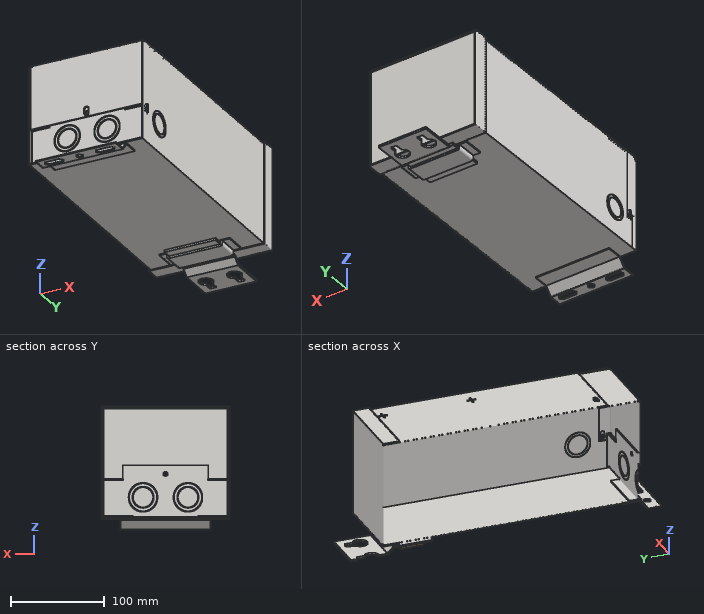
import cadquery as cq
import math


TOTAL_LENGTH = 357.5
TOTAL_HEIGHT = 133.5
CAP_WIDTH = 139.7
CAP_HEIGHT = 123.0
SHEET = 1.25
BRACKET_PLATE = 2.5

HOUSING_WIDTH = CAP_WIDTH - 2 * SHEET
HOUSING_HEIGHT = CAP_HEIGHT - 2 * SHEET
INNER_HALF_WIDTH = HOUSING_WIDTH / 2 - SHEET
CEILING = HOUSING_HEIGHT - SHEET
HOUSING_BEND = 1.5
ROOF_FRONT = 39.0
SIDE_CORNER_RADIUS = 6.0

CAP_REAR = 297.7
CAP_DEPTH = 19.3
CAP_REAR_BEND = 2.0
CAP_CORNER_RADIUS = 0.7
HOUSING_LENGTH = CAP_REAR - SHEET

CROSS_LENGTH = 9.3
CROSS_WIDTH = 1.0
CROSS_X = 48.5
CROSS_YS = (169.0, 271.0)

BEND = 2.0
COVER_FRONT = SHEET
COVER_BOTTOM = 42.5
COVER_TONGUE_END = 49.3
PANEL_GAP = 0.7
PANEL_FRONT = COVER_FRONT + SHEET + PANEL_GAP
PANEL_FLANGE_DEPTH = 3.0
PANEL_SHOULDER = 41.5
PANEL_TONGUE_TOP = 57.2
PANEL_TONGUE_HALF_WIDTH = 45.5
PANEL_FOOT_HALF_WIDTH = 35.0
PANEL_FOOT_END = 14.3

SLOT_WIDTH = 4.3
SLOT_LENGTH = 10.0
FRONT_SLOT_WIDTH = 5.5
SCREW_HOLE = 4.3
FRONT_SLOT_Z = 49.5
FRONT_HOLE_Z = 48.2
ROOF_SLOT_Y = 45.5
SIDE_SLOT_Y = 11.0
SIDE_SLOT_Z = 41.0
SIDE_HOLE_Z = 40.0
EAR_WIDTH = 8.5
EAR_BOTTOM = 35.0
EAR_END = SIDE_SLOT_Y + EAR_WIDTH / 2

GROOVE_DEPTH = 0.5
FRONT_KNOCKOUT_X = 24.0
FRONT_KNOCKOUT_Z = 23.2
FRONT_RINGS = (31.0, 23.0)
FRONT_GROOVE_WIDTH = 0.7
SIDE_KNOCKOUT_Y = ROOF_FRONT
SIDE_KNOCKOUT_Z = 34.3
SIDE_RINGS = (29.3, 23.0)
SIDE_GROOVE_WIDTH = 0.5

FOOT_TIP = -23.0
FRONT_BRACKET_WIDTH = 96.0
FRONT_FLANGE_END = 21.0
FRONT_UPPER_BEND_Y = 1.8
FRONT_LOWER_BEND_Y = -7
FRONT_FOOT_TOP = -10.0
FOOT_SLOT_X = 30.7
FOOT_SLOT_Y = -13.5
FOOT_SLOT_LENGTH = 21.8
FOOT_HOLE = 7.5

REAR_TIP = FOOT_TIP + TOTAL_LENGTH
REAR_FOOT_BOTTOM = HOUSING_HEIGHT + SHEET - TOTAL_HEIGHT
REAR_BRACKET_WIDTH = 62.0
REAR_TAIL_START = 239.8
REAR_TAIL_TOP = -2.5
REAR_UPPER_BEND_Y = 285.2
REAR_LOWER_BEND_Y = 292.5
KEYHOLE_X = 17.0
KEYHOLE_Y = 310.0
KEYHOLE_DIAMETER = 16.5
KEYHOLE_NECK_WIDTH = 7.5
KEYHOLE_TOP = 326.5
KEYHOLE_CORNER = 1.5
STRAP_START = 250.5
STRAP_LENGTH = 25.7
STRAP_FLANGE = 9.0


def block(x_range, y_range, z_range):
    """Box between the given pairs of coordinates."""
    (x0, x1), (y0, y1), (z0, z1) = x_range, y_range, z_range
    return cq.Workplane("XY").box(x1 - x0, y1 - y0, z1 - z0, centered=False).translate((x0, y0, z0))


def mid_block(half_width, y_range, z_range):
    """Box centred on X."""
    return block((-half_width, half_width), y_range, z_range)


def along_x(outline, half_width):
    """Extrude an outline drawn in the YZ plane to both sides of X = 0."""
    return outline.extrude(half_width, both=True)


def ring_grooves(plane, diameters, groove_width):
    """Concentric ring cutters, sunk and raised by the groove depth about the plane."""
    rings = cq.Workplane(plane)
    for diameter in diameters:
        rings = rings.circle(diameter / 2).circle(diameter / 2 - groove_width)
        rings = rings.extrude(GROOVE_DEPTH, both=True)
    return rings


def side_plane(x, y, z):
    """Sketch plane on a side wall: local x along Y, normal along X."""
    return cq.Plane(origin=(x, y, z), xDir=(0, 1, 0), normal=(1, 0, 0))


def front_plane(x, y, z):
    """Sketch plane on a front wall: local x along X, normal toward -Y."""
    return cq.Plane(origin=(x, y, z), xDir=(1, 0, 0), normal=(0, -1, 0))


def make_housing():
    housing = mid_block(HOUSING_WIDTH / 2, (0, HOUSING_LENGTH), (0, HOUSING_HEIGHT))
    housing = housing.edges("|Y").fillet(HOUSING_BEND)
    housing = housing.cut(mid_block(INNER_HALF_WIDTH, (0, HOUSING_LENGTH), (SHEET, CEILING)))

    housing = housing.cut(mid_block(HOUSING_WIDTH, (0, ROOF_FRONT), (CEILING, HOUSING_HEIGHT)))
    diagonal = SIDE_CORNER_RADIUS * (1 - math.sqrt(0.5))
    corner = (
        cq.Workplane("YZ")
        .moveTo(0, CEILING)
        .lineTo(0, CEILING - SIDE_CORNER_RADIUS)
        .threePointArc((diagonal, CEILING - diagonal), (SIDE_CORNER_RADIUS, CEILING))
        .close()
    )
    housing = housing.cut(along_x(corner, HOUSING_WIDTH))

    centers = [(x, y) for x in (-CROSS_X, CROSS_X) for y in CROSS_YS]
    roof = cq.Workplane("XY", origin=(0, 0, CEILING)).pushPoints(centers)
    housing = housing.cut(roof.rect(CROSS_LENGTH, CROSS_WIDTH).extrude(SHEET))
    housing = housing.cut(roof.rect(CROSS_WIDTH, CROSS_LENGTH).extrude(SHEET))

    roof_slot = cq.Workplane("XY", origin=(0, ROOF_SLOT_Y, CEILING)).slot2D(SLOT_LENGTH, SLOT_WIDTH)
    housing = housing.cut(roof_slot.extrude(SHEET))
    side_slot = cq.Workplane(side_plane(0, SIDE_SLOT_Y, SIDE_SLOT_Z)).slot2D(SLOT_LENGTH, SLOT_WIDTH, 90)
    housing = housing.cut(along_x(side_slot, HOUSING_WIDTH))

    for x in (-HOUSING_WIDTH / 2, HOUSING_WIDTH / 2):
        plane = side_plane(x, SIDE_KNOCKOUT_Y, SIDE_KNOCKOUT_Z)
        housing = housing.cut(ring_grooves(plane, SIDE_RINGS, SIDE_GROOVE_WIDTH))
    return housing


def make_rear_cap():
    cap_front = CAP_REAR - CAP_DEPTH
    cap = mid_block(CAP_WIDTH / 2, (cap_front, CAP_REAR), (-SHEET, HOUSING_HEIGHT + SHEET))
    cap = cap.edges("|Y").fillet(CAP_CORNER_RADIUS)
    cap = cap.faces(">Y").edges().fillet(CAP_REAR_BEND)
    return cap.cut(mid_block(HOUSING_WIDTH / 2, (cap_front, HOUSING_LENGTH), (0, HOUSING_HEIGHT)))


def make_front_cover():
    cover = mid_block(INNER_HALF_WIDTH, (COVER_FRONT, COVER_TONGUE_END), (COVER_BOTTOM, CEILING))
    cover = cover.edges("(|Z and <Y) or (>Z and (not >Y))").fillet(BEND)
    hollow = mid_block(
        INNER_HALF_WIDTH - SHEET,
        (COVER_FRONT + SHEET, COVER_TONGUE_END),
        (COVER_BOTTOM, CEILING - SHEET),
    )
    hollow = hollow.edges("(|Z and <Y) or (>Z and (not >Y))").fillet(BEND - SHEET)
    cover = cover.cut(hollow)

    side_relief = mid_block(INNER_HALF_WIDTH, (EAR_END, COVER_TONGUE_END), (COVER_BOTTOM, CEILING - BEND))
    cover = cover.cut(side_relief)

    for x in (-INNER_HALF_WIDTH, INNER_HALF_WIDTH - SHEET):
        ear = block((x, x + SHEET), (EAR_END - EAR_WIDTH, EAR_END), (EAR_BOTTOM, COVER_BOTTOM))
        cover = cover.union(ear)

    front_slot = cq.Workplane(front_plane(0, COVER_FRONT + SHEET, FRONT_SLOT_Z))
    cover = cover.cut(front_slot.slot2D(SLOT_LENGTH, FRONT_SLOT_WIDTH, 90).extrude(SHEET))
    roof_hole = cq.Workplane("XY", origin=(0, ROOF_SLOT_Y, CEILING - SHEET)).circle(SCREW_HOLE / 2)
    cover = cover.cut(roof_hole.extrude(SHEET))
    side_hole = cq.Workplane(side_plane(0, SIDE_SLOT_Y, SIDE_HOLE_Z)).circle(SCREW_HOLE / 2)
    return cover.cut(along_x(side_hole, HOUSING_WIDTH))


def make_front_panel():
    panel_back = PANEL_FRONT + SHEET
    panel_bottom = SHEET + BEND

    flange_end = PANEL_FRONT + PANEL_FLANGE_DEPTH
    panel = mid_block(INNER_HALF_WIDTH, (PANEL_FRONT, flange_end), (panel_bottom, PANEL_SHOULDER))
    panel = panel.edges("|Z and <Y").fillet(BEND)
    hollow = mid_block(
        INNER_HALF_WIDTH - SHEET, (panel_back, flange_end), (panel_bottom, PANEL_SHOULDER)
    )
    panel = panel.cut(hollow.edges("|Z and <Y").fillet(BEND - SHEET))

    tongue = mid_block(
        PANEL_TONGUE_HALF_WIDTH, (PANEL_FRONT, panel_back), (PANEL_SHOULDER, PANEL_TONGUE_TOP)
    )
    panel = panel.union(tongue)
    hole = cq.Workplane(front_plane(0, panel_back, FRONT_HOLE_Z)).circle(SCREW_HOLE / 2)
    panel = panel.cut(hole.extrude(SHEET))

    foot_top = panel_bottom + BEND
    foot = mid_block(PANEL_FOOT_HALF_WIDTH, (PANEL_FRONT, PANEL_FOOT_END), (SHEET, foot_top))
    foot = foot.edges("|X and <Y and <Z").fillet(BEND)
    above_foot = mid_block(PANEL_FOOT_HALF_WIDTH, (panel_back, PANEL_FOOT_END), (2 * SHEET, foot_top))
    above_foot = above_foot.edges("|X and <Y and <Z").fillet(BEND - SHEET)
    panel = panel.union(foot.cut(above_foot))

    for x in (-FRONT_KNOCKOUT_X, FRONT_KNOCKOUT_X):
        plane = front_plane(x, PANEL_FRONT, FRONT_KNOCKOUT_Z)
        panel = panel.cut(ring_grooves(plane, FRONT_RINGS, FRONT_GROOVE_WIDTH))
    return panel


def bent_strip(top_line, thickness, half_width):
    """Strip of constant thickness below a level-slope-level top line of (y, z) points."""
    start, upper, lower, tip = top_line
    slope = math.atan2(upper[1] - lower[1], abs(lower[0] - upper[0]))
    direction = math.copysign(1, tip[0] - start[0])
    shift = direction * thickness * math.tan(slope / 2)
    underside = [
        (tip[0], tip[1] - thickness),
        (lower[0] - shift, lower[1] - thickness),
        (upper[0] - shift, upper[1] - thickness),
        (start[0], start[1] - thickness),
    ]
    return along_x(cq.Workplane("YZ").polyline(top_line + underside).close(), half_width)


def make_front_bracket():
    top_line = [
        (FRONT_FLANGE_END, 0),
        (FRONT_UPPER_BEND_Y, 0),
        (FRONT_LOWER_BEND_Y, FRONT_FOOT_TOP),
        (FOOT_TIP, FRONT_FOOT_TOP),
    ]
    bracket = bent_strip(top_line, SHEET, FRONT_BRACKET_WIDTH / 2)
    foot = cq.Workplane("XY", origin=(0, FOOT_SLOT_Y, FRONT_FOOT_TOP - SHEET))
    slots = foot.pushPoints([(-FOOT_SLOT_X, 0), (FOOT_SLOT_X, 0)]).slot2D(FOOT_SLOT_LENGTH, FOOT_HOLE)
    return bracket.cut(slots.extrude(SHEET)).cut(foot.circle(FOOT_HOLE / 2).extrude(SHEET))


def make_rear_bracket():
    foot_top = REAR_FOOT_BOTTOM + BRACKET_PLATE
    top_line = [
        (REAR_TAIL_START, REAR_TAIL_TOP),
        (REAR_UPPER_BEND_Y, REAR_TAIL_TOP),
        (REAR_LOWER_BEND_Y, foot_top),
        (REAR_TIP, foot_top),
    ]
    bracket = bent_strip(top_line, BRACKET_PLATE, REAR_BRACKET_WIDTH / 2)
    for x in (-KEYHOLE_X, KEYHOLE_X):
        foot = cq.Workplane("XY", origin=(x, KEYHOLE_Y, REAR_FOOT_BOTTOM))
        bracket = bracket.cut(foot.circle(KEYHOLE_DIAMETER / 2).extrude(BRACKET_PLATE))
        half_neck = KEYHOLE_NECK_WIDTH / 2
        neck = block((x - half_neck, x + half_neck), (KEYHOLE_Y, KEYHOLE_TOP), (REAR_FOOT_BOTTOM, foot_top))
        bracket = bracket.cut(neck.edges("|Z and >Y").fillet(KEYHOLE_CORNER))
    return bracket


def make_strap():
    """Hat-shaped strap whose flanges lie against the housing floor and whose web carries the rear bracket."""
    strap_range = (STRAP_START, STRAP_START + STRAP_LENGTH)
    inner_half = REAR_BRACKET_WIDTH / 2
    outer_half = inner_half + BRACKET_PLATE
    web_top = REAR_TAIL_TOP - BRACKET_PLATE
    strap = mid_block(outer_half, strap_range, (web_top - BRACKET_PLATE, 0))
    strap = strap.edges("|Y and <Z").fillet(BRACKET_PLATE)
    strap = strap.union(mid_block(outer_half + STRAP_FLANGE, strap_range, (-SHEET, 0)))
    return strap.cut(mid_block(inner_half, strap_range, (web_top, 0)))


housing = make_housing()
rear_cap = make_rear_cap()
front_cover = make_front_cover()
front_panel = make_front_panel()
front_bracket = make_front_bracket()
rear_bracket = make_rear_bracket()
strap = make_strap()

result = cq.Compound.makeCompound([
    housing.val(),
    rear_cap.val(),
    front_cover.val(),
    front_panel.val(),
    front_bracket.val(),
    rear_bracket.val(),
    strap.val(),
])